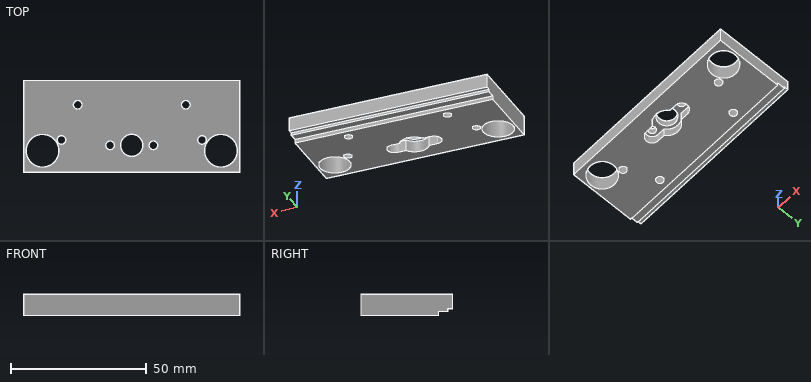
import cadquery as cq

plate_length = 80.0
plate_width = 34.0
plate_thickness = 8.0

outer_step_depth = 1.8
outer_step_height = 2.5
inner_step_depth = 5.2
inner_step_height = 1.5

corner_hole_diameter = 12.0
corner_hole_x = 33.0
corner_hole_y = -9.0

screw_hole_diameter = 3.1
hub_screw_x = 8.0
rear_screw_x = 20.0
rear_screw_y = 8.0
side_screw_x = 26.0
side_screw_y = -5.0

hub_y = -7.0
hub_bore_diameter = 8.1
hub_bore_depth = 3.5
hub_recess_diameter = 11.0
arm_width = 5.8
recess_height = plate_thickness - hub_bore_depth


def make_plate():
    """Extrude the stepped Y-Z section along the full length."""
    back = plate_width / 2
    section = [
        (-back, 0),
        (back - inner_step_depth, 0),
        (back - inner_step_depth, inner_step_height),
        (back - outer_step_depth, inner_step_height),
        (back - outer_step_depth, outer_step_height),
        (back, outer_step_height),
        (back, plate_thickness),
        (-back, plate_thickness),
    ]
    return cq.Workplane("YZ").polyline(section).close().extrude(plate_length / 2, both=True)


def through_holes(diameter, positions):
    return cq.Workplane("XY").pushPoints(positions).circle(diameter / 2).extrude(plate_thickness)


def mirrored_pair(x, y):
    return [(-x, y), (x, y)]


def hub_recess():
    """Round hub pocket crossed by a round-ended arm slot reaching both hub screws."""
    base = cq.Workplane("XY").center(0, hub_y)
    hub = base.circle(hub_recess_diameter / 2).extrude(recess_height)
    arm = base.slot2D(2 * hub_screw_x + arm_width, arm_width).extrude(recess_height)
    return hub.union(arm)


screw_positions = (
    mirrored_pair(hub_screw_x, hub_y)
    + mirrored_pair(rear_screw_x, rear_screw_y)
    + mirrored_pair(side_screw_x, side_screw_y)
)

result = (
    make_plate()
    .cut(through_holes(corner_hole_diameter, mirrored_pair(corner_hole_x, corner_hole_y)))
    .cut(through_holes(screw_hole_diameter, screw_positions))
    .cut(through_holes(hub_bore_diameter, [(0, hub_y)]))
    .cut(hub_recess())
)